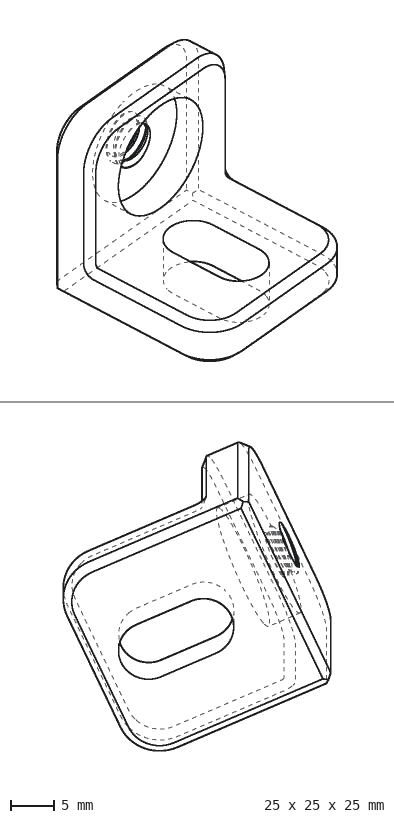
import cadquery as cq
side = 25
thickness = 6
corner_radius = 5
inner_radius = 0.5
chamfer = 1

slot_length = 14
slot_width = 7
slot_center_x = 14.5

hole_height = 15.5
counterbore_diameter = 15
thread_length = 2
minor_diameter = 5.05
major_diameter = 6.35
pitch = 1.28
groove_mouth = 1.05
groove_root = 0.15
thread_start_angle = 150
overlap = 0.05


def make_body():
    """L-shaped bracket with rounded free corners and chamfered outlines."""
    body = (
        cq.Workplane("XZ")
        .polyline([
            (0, 0),
            (side, 0),
            (side, thickness),
            (thickness, thickness),
            (thickness, side),
            (0, side),
        ])
        .close()
        .extrude(side / 2, both=True)
    )
    body = body.faces(">Z").edges("|X").fillet(corner_radius)
    body = body.faces(">X").edges("|Z").fillet(corner_radius)
    inner_corner = cq.NearestToPointSelector((thickness, 0, thickness))
    body = body.edges("|Y").edges(inner_corner).fillet(inner_radius)

    inner_outline = cq.NearestToPointSelector((thickness, 0, side))
    heel_edge = cq.NearestToPointSelector((0, 0, 0))
    outer_edges = body.faces("<X or <Z").edges().edges(cq.selectors.InverseSelector(heel_edge))
    body = outer_edges.add(body.edges(inner_outline)).chamfer(chamfer)

    heel_wedge = (
        cq.Workplane("XZ")
        .polyline([(0, 0), (chamfer, 0), (0, chamfer)])
        .close()
        .extrude(side / 2, both=True)
    )
    return body.cut(heel_wedge)


def make_slot():
    return (
        cq.Workplane("XY")
        .center(slot_center_x, 0)
        .slot2D(slot_length, slot_width)
        .extrude(thickness)
    )


def make_bore():
    return cq.Workplane("YZ").center(0, hole_height).circle(minor_diameter / 2).extrude(thickness)


def make_counterbore():
    """Wide recess in the inner face of the upright leg."""
    return (
        cq.Workplane("YZ", origin=(thread_length, 0, hole_height))
        .circle(counterbore_diameter / 2)
        .extrude(thickness - thread_length)
    )


def make_thread_groove():
    """Right-hand V groove along the bore, running one pitch past both faces."""
    inner = minor_diameter / 2 - overlap
    outer = major_diameter / 2
    path = cq.Wire.makeHelix(pitch, thread_length + 2 * pitch, inner)
    groove = (
        cq.Workplane("XZ")
        .polyline([
            (inner, -groove_mouth / 2),
            (outer, -groove_root / 2),
            (outer, groove_root / 2),
            (inner, groove_mouth / 2),
        ])
        .close()
        .sweep(cq.Workplane(obj=path), isFrenet=True)
    )
    return (
        groove.rotate((0, 0, 0), (0, 0, 1), thread_start_angle)
        .rotate((0, 0, 0), (0, 1, 0), 90)
        .translate((-pitch, 0, hole_height))
    )


result = make_body().cut(make_slot()).cut(make_counterbore())
result = result.cut(make_thread_groove()).cut(make_bore())